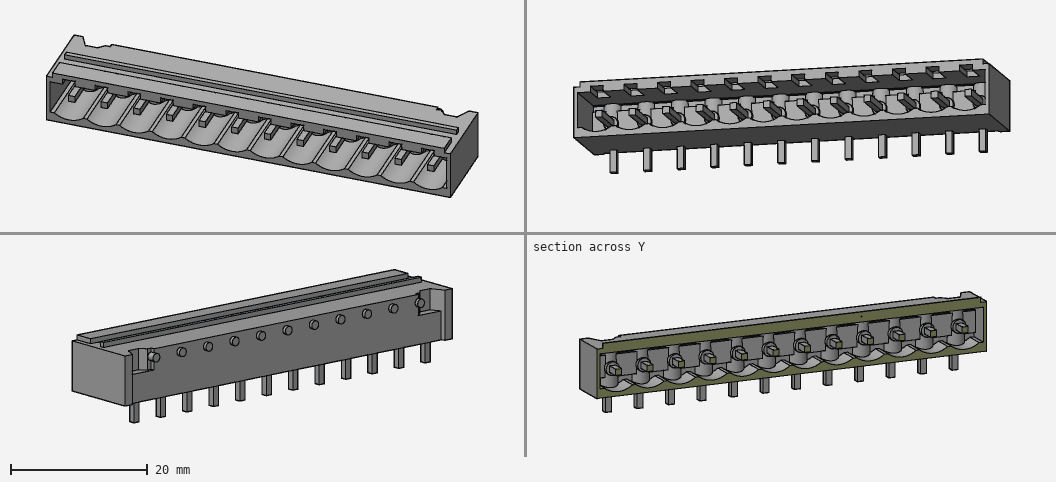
import cadquery as cq

PIN_COUNT = 12
PITCH = 5.08
PIN_SIZE = 1.0
PIN_LENGTH_BELOW = 3.3
PIN_HEIGHT = 3.66
PIN_TIP_Y = 1.2
PIN_LEG_Y = 10.0

LENGTH = 62.86
DEPTH = 12.0
HEIGHT = 7.58
REAR_RECESS = 0.57
EAR_TIP_WIDTH = 1.4

RAIL_HEIGHT = 0.75
RAIL_END_GAP = 0.95
FRONT_RAIL_WIDTH = 3.07
REAR_RAIL_Y = 5.3
REAR_RAIL_WIDTH = 0.76

END_WALL = 0.58
CAVITY_FLOOR = 1.48
CAVITY_ROOF = 6.72
CAVITY_DEPTH = 9.2
SCALLOP_WIDTH = 4.5
SCALLOP_SAG = 0.74

SLOT_WIDTH = 1.95
SLOT_DEPTH = 4.17

COLUMN_BASE_RADIUS = 1.55
COLUMN_TOP_RADIUS = 1.4
COLUMN_AXIS_SETBACK = 0.6
BLOCK_BOTTOM = 2.27
BLOCK_TOP = 5.65
BLOCK_DEPTH = 0.56
COLLAR_RADIUS = 1.05
COLLAR_DEPTH = 1.2
LIP_HEIGHT = 0.15
LIP_DEPTH = 0.3

NOTCH_DEPTH = 2.13
NOTCH_FLOOR_START = 2.5
NOTCH_FLOOR_END = 4.42
NOTCH_SLOPE_END = 5.3
NOTCH_STEP_DEPTH = 1.2
NOTCH_HEIGHT = 3.2

STUD_RADIUS = 0.65
STUD_ROOF_GAP = 0.6

REAR_WALL_Y = DEPTH - REAR_RECESS
HALF_LENGTH = LENGTH / 2
FIRST_PIN_X = -PITCH * (PIN_COUNT - 1) / 2
PIN_XS = [FIRST_PIN_X + i * PITCH for i in range(PIN_COUNT)]
STUD_XS = [x + PITCH / 2 for x in PIN_XS[:-1]]


def block(x_range, y_range, z_range):
    """Box spanning the given x, y and z ranges."""
    size = [high - low for low, high in (x_range, y_range, z_range)]
    return cq.Workplane().box(*size, centered=False).translate((x_range[0], y_range[0], z_range[0]))


def centred(x, width):
    """Range of the given width centred on x."""
    return (x - width / 2, x + width / 2)


def rod_y(x, z, radius, y_start, y_end):
    """Round bar along y."""
    bar = cq.Workplane("XZ").circle(radius).extrude(-(y_end - y_start))
    return bar.translate((x, y_start, z))


def make_shell():
    """Plain housing block with an ear at each rear end."""
    ear_slope = (NOTCH_FLOOR_START - EAR_TIP_WIDTH) / NOTCH_DEPTH
    ear_tip_x = HALF_LENGTH - EAR_TIP_WIDTH
    ear_root_x = ear_tip_x - ear_slope * REAR_RECESS
    outline = [
        (-HALF_LENGTH, 0),
        (HALF_LENGTH, 0),
        (HALF_LENGTH, DEPTH),
        (ear_tip_x, DEPTH),
        (ear_root_x, REAR_WALL_Y),
        (-ear_root_x, REAR_WALL_Y),
        (-ear_tip_x, DEPTH),
        (-HALF_LENGTH, DEPTH),
    ]
    return cq.Workplane().polyline(outline).close().extrude(HEIGHT)


def make_rails():
    """Two raised rails along the roof."""
    x_range = centred(0, LENGTH - 2 * RAIL_END_GAP)
    z_range = (HEIGHT, HEIGHT + RAIL_HEIGHT)
    front = block(x_range, (0, FRONT_RAIL_WIDTH), z_range)
    rear = block(x_range, (REAR_RAIL_Y, REAR_RAIL_Y + REAR_RAIL_WIDTH), z_range)
    return front.union(rear)


def make_cavity():
    """Open-fronted plug cavity with a scalloped floor and keying slots."""
    x_range = centred(0, LENGTH - 2 * END_WALL)
    cavity = block(x_range, (0, CAVITY_DEPTH), (CAVITY_FLOOR, CAVITY_ROOF))
    for x in PIN_XS:
        scallop = (
            cq.Workplane("XZ")
            .moveTo(x - SCALLOP_WIDTH / 2, CAVITY_FLOOR)
            .threePointArc((x, CAVITY_FLOOR - SCALLOP_SAG), (x + SCALLOP_WIDTH / 2, CAVITY_FLOOR))
            .close()
            .extrude(-CAVITY_DEPTH)
        )
        slot = block(centred(x, SLOT_WIDTH), (0, SLOT_DEPTH), (CAVITY_ROOF, HEIGHT))
        cavity = cavity.union(scallop).union(slot)
    return cavity


def make_supports():
    """Block band, roof lip, tapered columns and collars on the rear wall of the cavity."""
    x_range = centred(0, LENGTH - 2 * END_WALL)
    band = block(x_range, (CAVITY_DEPTH - BLOCK_DEPTH, CAVITY_DEPTH), (BLOCK_BOTTOM, BLOCK_TOP))
    lip = block(x_range, (CAVITY_DEPTH - LIP_DEPTH, CAVITY_DEPTH), (CAVITY_ROOF - LIP_HEIGHT, CAVITY_ROOF))
    supports = band.union(lip)
    column_base = CAVITY_FLOOR - SCALLOP_SAG
    column_axis_y = CAVITY_DEPTH + COLUMN_AXIS_SETBACK
    for x in PIN_XS:
        column = (
            cq.Workplane(origin=(x, column_axis_y, column_base))
            .circle(COLUMN_BASE_RADIUS)
            .workplane(offset=CAVITY_ROOF - column_base)
            .circle(COLUMN_TOP_RADIUS)
            .loft()
        )
        collar = rod_y(x, PIN_HEIGHT, COLLAR_RADIUS, CAVITY_DEPTH - COLLAR_DEPTH, CAVITY_DEPTH)
        supports = supports.union(column).union(collar)
    return supports


def make_notch():
    """Stepped corner notch at the left rear of the roof."""
    floor_y = DEPTH - NOTCH_DEPTH
    step_y = DEPTH - NOTCH_STEP_DEPTH
    profile = [
        (EAR_TIP_WIDTH - HALF_LENGTH, DEPTH),
        (NOTCH_FLOOR_START - HALF_LENGTH, floor_y),
        (NOTCH_FLOOR_END - HALF_LENGTH, floor_y),
        (NOTCH_SLOPE_END - HALF_LENGTH, step_y),
        (STUD_XS[0], step_y),
        (STUD_XS[0], DEPTH),
    ]
    base = cq.Workplane().workplane(offset=HEIGHT - NOTCH_HEIGHT)
    return base.polyline(profile).close().extrude(NOTCH_HEIGHT)


def make_studs():
    """Round studs on the rear wall; the end ones also reach into the notches."""
    stud_z = HEIGHT - STUD_ROOF_GAP - STUD_RADIUS
    studs = cq.Workplane()
    for x in STUD_XS:
        studs = studs.add(rod_y(x, stud_z, STUD_RADIUS, DEPTH - NOTCH_STEP_DEPTH, DEPTH))
    return studs.combine()


def make_pin(x):
    """L-shaped square contact: blade into the cavity, leg below the base."""
    x_range = centred(x, PIN_SIZE)
    blade_z = centred(PIN_HEIGHT, PIN_SIZE)
    leg_y = centred(PIN_LEG_Y, PIN_SIZE)
    blade = block(x_range, (PIN_TIP_Y, leg_y[1]), blade_z)
    leg = block(x_range, leg_y, (-PIN_LENGTH_BELOW, blade_z[1]))
    return blade.union(leg)


left_notch = make_notch()
result = make_shell().union(make_rails()).cut(make_cavity()).union(make_supports())
result = result.cut(left_notch).cut(left_notch.mirror("YZ"))
result = result.union(make_studs())
for pin_x in PIN_XS:
    result = result.union(make_pin(pin_x))